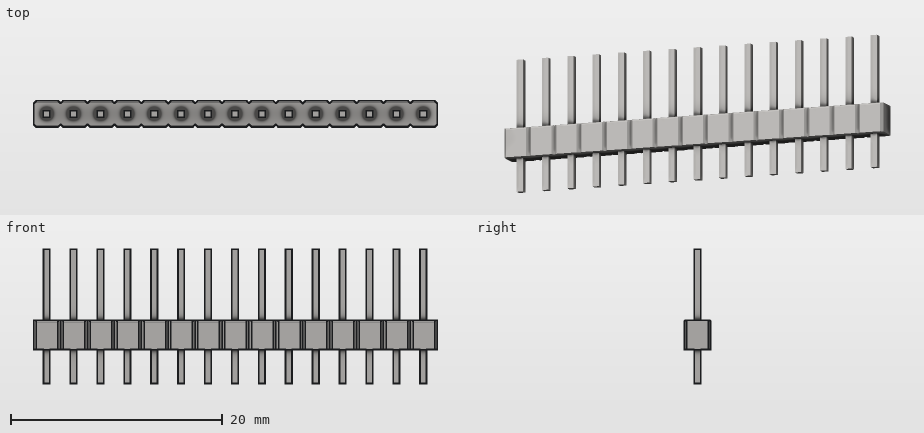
import cadquery as cq

pin_count = 15
pitch = 2.54

body_width = 2.5
body_height = 2.8
corner_chamfer = 0.254
top_fillet = 0.17

pin_size = 0.63
pin_length = 12.7
tail_length = 3.2
pin_offset = -0.05


def housing_cell(x):
    """One cell with chamfered vertical corners and rounded long top edges."""
    cell = cq.Workplane("XY").box(pitch, body_width, body_height, centered=(True, True, False))
    cell = cell.edges("|Z").chamfer(corner_chamfer)
    cell = cell.faces("<Y or >Y").edges(">Z").fillet(top_fillet)
    return cell.translate((x, 0, 0))


def pin(x):
    """One square pin, passing straight through its cell."""
    post = cq.Workplane("XY").box(pin_size, pin_size, pin_length, centered=(True, True, False))
    return post.translate((x + pin_offset, 0, -tail_length))


header = cq.Workplane("XY")
for index in range(pin_count):
    cell_x = (index - (pin_count - 1) / 2) * pitch
    header = header.union(housing_cell(cell_x)).union(pin(cell_x))

result = header.clean()